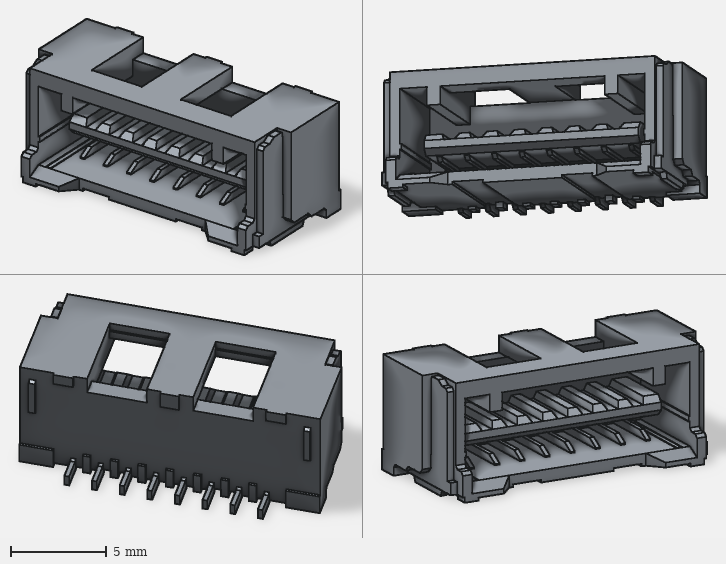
import cadquery as cq


LENGTH = 16.3
TOP_Z = 6.4
TAIL_END_Y = 8.5
BACK_Y = 7.12
PAD_Y = 7.27
WING_FRONT_Y = 2.8
WING_BOTTOM_Z = 1.25
FACE_Y = 0.78
FOOT_Z = 0.03
BASE_Z = 0.2
RAISED_BASE_Z = 0.35

WING_X = LENGTH / 2
SIDE_X = 7.25
EDGE_X = 7.14
FOOT_X = 6.3

CAVITY_X = 6.7
CAVITY_TOP_Z = 5.5
CAVITY_BACK_Y = 6.2
FLOOR_Z = 0.88
FLOOR_ROOT_Z = 1.03
STRIP_INNER_X = 5.92
STRIP_OUTER_X = 6.23
STRIP_Z = 0.91
RECESS_X = 5.87
RECESS_BACK_Y = 6.52
ROOT_Y = 6.26
BEAD_BOTTOM_Z = 2.23
BEAD_TOP_Z = 2.55
BEAD_HEIGHT = 0.07
KEY_INNER_X = 4.5
KEY_OUTER_X = 5.23
KEY_BOTTOM_Z = 4.52

RAMP_INNER_BACK_X = 4.08
RAMP_INNER_FRONT_X = 4.82
RAMP_FRONT_Z = 0.47

WINDOW_INNER_X = 1.25
WINDOW_OUTER_X = 4.5
WINDOW_FRONT_Y = 2.5
WINDOW_CEILING_Y = 2.6
WINDOW_STEP_Z = 5.95
LEDGE_Z = 5.48

CONTACTS = 8
PITCH = 1.5
PIN_WIDTH = 0.26
TONGUE_FRONT_Y = 2.4
TONGUE_TOP_Z = 2.98
TONGUE_NOSE_Z = 2.56
TONGUE_CHAMFER_Y = 2.74
TONGUE_CHAMFER_Z = 2.22
TONGUE_ROOT_Z = 2.09
RIDGE_TOP_Z = 3.34
RIDGE_BASE_WIDTH = 0.91
RIDGE_TOP_WIDTH = 0.54
RIDGE_SLOPE_Y = 0.36
BEAM_TIP_Y = 2.69
BEAM_CONTACT_Y = 3.37
UPPER_BEAM_Z = 1.99
LOWER_BEAM_Z = 1.32
LOWER_TIP_Z = 0.95
TAIL_TOP_Z = 0.65
TAIL_CHAMFER = 0.05
TAIL_HEEL_Y = 7.05
TAIL_ROOT_Y = 6.67
TAIL_ROOT_BOTTOM_Z = 0.39
TAIL_ROOT_TOP_Z = 0.75

END_PAD_INNER_X = 5.23
END_PAD_Z = 5.79
MIDDLE_PAD_X = 0.5
POST_WIDTH = 0.4
POST_FRONT_Y = 6.52
REAR_FOOT_FRONT_Y = 5.98
REAR_FOOT_Z = 1.17
RELIEF_INNER_X = 2.17
RELIEF_OUTER_X = 3.83

CLIP_THICKNESS = 0.39
TAB_INNER_X = 7.29
TAB_OUTER_X = 7.63

pin_positions = [(i - (CONTACTS - 1) / 2) * PITCH for i in range(CONTACTS)]
post_positions = [x + PITCH / 2 for x in pin_positions[:-1]]


def block(x0, x1, y0, y1, z0, z1):
    """Box between two corners."""
    return cq.Workplane("XY").box(x1 - x0, y1 - y0, z1 - z0, centered=False).translate((x0, y0, z0))


def side_profile(points, x0, x1):
    """Outline of (y, z) points extruded from x0 to x1."""
    return cq.Workplane("YZ").workplane(offset=x0).polyline(points).close().extrude(x1 - x0)


def both_sides(body):
    """The body together with its mirror image across the middle plane."""
    return body.union(body.mirror("YZ"))


def housing_shell():
    """Plain outer body: core, side wings, stepped side walls, lead-in ramps and feet."""
    core = block(-EDGE_X, EDGE_X, FACE_Y, BACK_Y, BASE_Z, TOP_Z)
    side_wall = side_profile(
        [
            (0, RAISED_BASE_Z), (0, 1.53), (0.2, 1.71), (0.6, 1.71), (FACE_Y, 1.89),
            (FACE_Y, TOP_Z), (BACK_Y, TOP_Z), (BACK_Y, RAISED_BASE_Z),
        ],
        CAVITY_X, SIDE_X,
    )
    wing = side_profile(
        [
            (WING_FRONT_Y, TOP_Z), (BACK_Y, TOP_Z), (BACK_Y, FOOT_Z), (REAR_FOOT_FRONT_Y, FOOT_Z),
            (REAR_FOOT_FRONT_Y, 0.49), (5.8, 0.68), (4.65, 0.68), (4.37, 0.98), (3.08, 0.98),
            (WING_FRONT_Y, WING_BOTTOM_Z),
        ],
        SIDE_X, WING_X,
    )
    ramp = side_profile(
        [(0, BASE_Z), (0, RAMP_FRONT_Z), (FACE_Y, FLOOR_Z), (FACE_Y, BASE_Z)],
        RAMP_INNER_BACK_X, EDGE_X,
    )
    ramp_corner = (
        cq.Workplane("XY").workplane(offset=BASE_Z)
        .polyline([(RAMP_INNER_BACK_X, 0), (RAMP_INNER_FRONT_X, 0), (RAMP_INNER_BACK_X, FACE_Y)])
        .close().extrude(TOP_Z)
    )
    front_foot = block(FOOT_X, EDGE_X, 0, FACE_Y, FOOT_Z, RAISED_BASE_Z)
    rear_foot = block(FOOT_X, WING_X, REAR_FOOT_FRONT_Y, PAD_Y, FOOT_Z, REAR_FOOT_Z)
    sides = side_wall.union(wing).union(ramp.cut(ramp_corner)).union(front_foot).union(rear_foot)
    return core.union(both_sides(sides))


def cavity():
    """Space of the mating cavity, with its keying ribs, beads and floor strips left standing."""
    space = block(-CAVITY_X, CAVITY_X, FACE_Y, CAVITY_BACK_Y, FLOOR_Z, CAVITY_TOP_Z)
    key = block(KEY_INNER_X, KEY_OUTER_X, FACE_Y, CAVITY_BACK_Y, KEY_BOTTOM_Z, CAVITY_TOP_Z)
    bead = block(CAVITY_X - BEAD_HEIGHT, CAVITY_X, FACE_Y, CAVITY_BACK_Y, BEAD_BOTTOM_Z, BEAD_TOP_Z)
    strip = block(STRIP_INNER_X, STRIP_OUTER_X, FACE_Y, CAVITY_BACK_Y, FLOOR_Z, STRIP_Z)
    recess = block(-RECESS_X, RECESS_X, CAVITY_BACK_Y, RECESS_BACK_Y, FLOOR_Z, TONGUE_TOP_Z)
    root_slope = side_profile(
        [(ROOT_Y, FLOOR_Z), (RECESS_BACK_Y, FLOOR_Z), (RECESS_BACK_Y, FLOOR_ROOT_Z)],
        -RECESS_X, RECESS_X,
    )
    standing = both_sides(key.union(bead).union(strip))
    return space.cut(standing).union(recess).cut(root_slope)


def window():
    """Opening through the ceiling with a stepped front wall, running out over a ledge on the rear wall."""
    opening = side_profile(
        [
            (WINDOW_FRONT_Y, TOP_Z), (WINDOW_FRONT_Y, WINDOW_STEP_Z),
            (WINDOW_CEILING_Y, WINDOW_STEP_Z), (WINDOW_CEILING_Y, CAVITY_TOP_Z),
            (CAVITY_BACK_Y, CAVITY_TOP_Z), (CAVITY_BACK_Y, TOP_Z),
        ],
        WINDOW_INNER_X, WINDOW_OUTER_X,
    )
    over_ledge = block(WINDOW_INNER_X, WINDOW_OUTER_X, CAVITY_BACK_Y, BACK_Y, LEDGE_Z, TOP_Z)
    return opening.union(over_ledge)


def floor_relief():
    """Shallow channel across the underside of the floor."""
    return block(RELIEF_INNER_X, RELIEF_OUTER_X, FACE_Y, BACK_Y, BASE_Z, RAISED_BASE_Z)


def ridge(x0, x1, top_x0, top_x1):
    """Ridge on the tongue with sloped flanks and a sloped front end."""
    section = (
        cq.Workplane("XZ", origin=(0, TONGUE_FRONT_Y, 0))
        .polyline([(x0, TONGUE_TOP_Z), (top_x0, RIDGE_TOP_Z), (top_x1, RIDGE_TOP_Z), (x1, TONGUE_TOP_Z)])
        .close().extrude(TONGUE_FRONT_Y - RECESS_BACK_Y)
    )
    front_end = side_profile(
        [
            (TONGUE_FRONT_Y, TONGUE_TOP_Z), (TONGUE_FRONT_Y, RIDGE_TOP_Z),
            (TONGUE_FRONT_Y + RIDGE_SLOPE_Y, RIDGE_TOP_Z),
        ],
        x0, x1,
    )
    return section.cut(front_end)


def tongue():
    """Central tongue carrying one ridge over each contact; the end ridges reach its ends."""
    body = side_profile(
        [
            (TONGUE_FRONT_Y, TONGUE_TOP_Z), (TONGUE_FRONT_Y, TONGUE_NOSE_Z),
            (TONGUE_CHAMFER_Y, TONGUE_CHAMFER_Z), (ROOT_Y, TONGUE_CHAMFER_Z),
            (RECESS_BACK_Y, TONGUE_ROOT_Z), (RECESS_BACK_Y, TONGUE_TOP_Z),
        ],
        -RECESS_X, RECESS_X,
    )
    half_base = RIDGE_BASE_WIDTH / 2
    half_top = RIDGE_TOP_WIDTH / 2
    for x in pin_positions[1:-1]:
        body = body.union(ridge(x - half_base, x + half_base, x - half_top, x + half_top))
    last_pin = pin_positions[-1]
    end_ridge = ridge(last_pin - half_base, RECESS_X, last_pin - half_top, RECESS_X)
    return body.union(both_sides(end_ridge))


def contact(x):
    """Contact with an upper and a lower beam in the cavity and a solder tail behind."""
    x0 = x - PIN_WIDTH / 2
    x1 = x + PIN_WIDTH / 2
    upper_beam = side_profile(
        [
            (BEAM_TIP_Y, TONGUE_TOP_Z), (BEAM_TIP_Y, TONGUE_NOSE_Z), (BEAM_CONTACT_Y, UPPER_BEAM_Z),
            (BACK_Y, UPPER_BEAM_Z), (BACK_Y, TONGUE_TOP_Z),
        ],
        x0, x1,
    )
    lower_beam = side_profile(
        [
            (BEAM_TIP_Y, FLOOR_Z), (BEAM_TIP_Y, LOWER_TIP_Z), (BEAM_CONTACT_Y, LOWER_BEAM_Z),
            (BACK_Y, LOWER_BEAM_Z), (BACK_Y, FLOOR_Z),
        ],
        x0, x1,
    )
    tail = side_profile(
        [
            (TAIL_ROOT_Y, TAIL_ROOT_BOTTOM_Z), (TAIL_HEEL_Y, 0), (TAIL_END_Y - TAIL_CHAMFER, 0),
            (TAIL_END_Y, TAIL_CHAMFER), (TAIL_END_Y, TAIL_TOP_Z), (PAD_Y, TAIL_TOP_Z),
            (BACK_Y, TAIL_ROOT_TOP_Z), (TAIL_ROOT_Y, TAIL_ROOT_TOP_Z),
        ],
        x0, x1,
    )
    return upper_beam.union(lower_beam).union(tail)


def rear_pads():
    """Pads high on the rear wall: one beside each end and one in the middle."""
    end_pad = block(END_PAD_INNER_X, FOOT_X, BACK_Y, PAD_Y, END_PAD_Z, TOP_Z)
    middle_pad = block(-MIDDLE_PAD_X, MIDDLE_PAD_X, BACK_Y, PAD_Y, LEDGE_Z, TOP_Z)
    return both_sides(end_pad).union(middle_pad)


def post(x):
    """Standing post between two contact tails."""
    return block(x - POST_WIDTH / 2, x + POST_WIDTH / 2, POST_FRONT_Y, PAD_Y, FOOT_Z, REAR_FOOT_Z)


def clip():
    """Metal hold-down plate on the side wall, with its solder tab and its rear tab."""
    plate = side_profile(
        [
            (5.41, RAISED_BASE_Z), (5.41, WING_BOTTOM_Z), (WING_FRONT_Y, WING_BOTTOM_Z),
            (2.74, 6.25), (2.65, 6.32), (1.99, 6.32), (1.58, 6.08), (1.17, 6.08), (1.0, 5.9),
            (1.0, 1.03), (0.64, 1.03), (0.64, RAISED_BASE_Z),
        ],
        SIDE_X, SIDE_X + CLIP_THICKNESS,
    )
    solder_tab = side_profile(
        [(4.71, RAISED_BASE_Z), (4.56, 0), (1.76, 0), (1.61, RAISED_BASE_Z)], TAB_INNER_X, TAB_OUTER_X
    )
    rear_tab = side_profile(
        [(BACK_Y, 3.45), (7.32, 3.57), (7.32, 5.57), (BACK_Y, 5.69)], TAB_INNER_X, TAB_OUTER_X
    )
    return plate.union(solder_tab).union(rear_tab)


result = housing_shell().cut(cavity()).cut(both_sides(window())).cut(both_sides(floor_relief()))
result = result.union(tongue()).union(rear_pads()).union(both_sides(clip()))
for post_x in post_positions:
    result = result.union(post(post_x))
for pin_x in pin_positions:
    result = result.union(contact(pin_x))